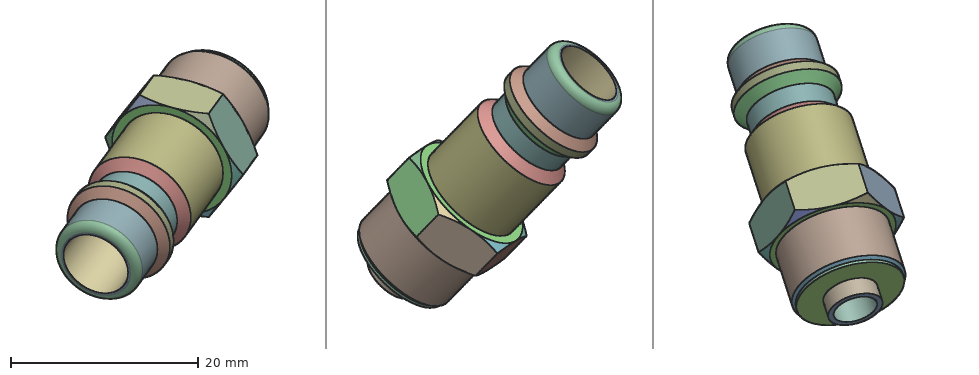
import cadquery as cq
import math


tip_radius = 5.0
groove_radius = 4.9
shank_radius = 6.0
collar_radius = 6.32
tube_radius = 3.03
bore_radius = 2.4
socket_radius = 3.77
tip_fillet = 1.0

hex_across_flats = 14.0
hex_corner_radius = hex_across_flats / math.sqrt(3)
hex_chamfer_angle = math.radians(30)

tip_end = 5.0
rim_start = tip_end + shank_radius - tip_radius
rim_end = 7.0
groove_start = rim_end + shank_radius - groove_radius
groove_end = 10.4
shank_start = groove_end + shank_radius - groove_radius
hex_start = 20.0
hex_end = 25.0
collar_shoulder = 31.3
neck_start = collar_shoulder + collar_radius - shank_radius
neck_end = 32.0
total_length = 34.0
socket_depth = hex_start


def cylinder(radius, start, end):
    """Solid cylinder on the Y axis from start to end."""
    return cq.Workplane("XZ", origin=(0, start, 0)).circle(radius).extrude(start - end)


def revolve_about_axis(profile):
    """Revolve a closed (radius, Y) profile about the Y axis."""
    return profile.close().revolve(360, (0, 0, 0), (0, 1, 0))


def make_body():
    """Turned outside: rounded tip, locking rim, groove, shank, collar and tube."""
    fillet_center = tip_radius - tip_fillet
    arc_middle = (
        fillet_center + tip_fillet * math.sin(math.pi / 4),
        tip_fillet * (1 - math.cos(math.pi / 4)),
    )
    profile = (
        cq.Workplane("XY")
        .lineTo(fillet_center, 0)
        .threePointArc(arc_middle, (tip_radius, tip_fillet))
        .lineTo(tip_radius, tip_end)
        .lineTo(shank_radius, rim_start)
        .lineTo(shank_radius, rim_end)
        .lineTo(groove_radius, groove_start)
        .lineTo(groove_radius, groove_end)
        .lineTo(shank_radius, shank_start)
        .lineTo(shank_radius, hex_start)
        .lineTo(collar_radius, hex_start)
        .lineTo(collar_radius, collar_shoulder)
        .lineTo(shank_radius, neck_start)
        .lineTo(shank_radius, neck_end)
        .lineTo(tube_radius, neck_end)
        .lineTo(tube_radius, total_length)
        .lineTo(0, total_length)
    )
    return revolve_about_axis(profile)


def make_hex():
    """Hexagon with corners on the X axis, its corners turned off conically at both ends."""
    flat_radius = hex_across_flats / 2
    corner_drop = (hex_corner_radius - flat_radius) * math.tan(hex_chamfer_angle)
    prism = (
        cq.Workplane("XZ", origin=(0, hex_start, 0))
        .polygon(6, 2 * hex_corner_radius)
        .extrude(hex_start - hex_end)
    )
    envelope = revolve_about_axis(
        cq.Workplane("XY")
        .moveTo(0, hex_start)
        .lineTo(flat_radius, hex_start)
        .lineTo(hex_corner_radius, hex_start + corner_drop)
        .lineTo(hex_corner_radius, hex_end - corner_drop)
        .lineTo(flat_radius, hex_end)
        .lineTo(0, hex_end)
    )
    return prism.intersect(envelope)


through_bore = cylinder(bore_radius, 0, total_length)
tip_socket = cylinder(socket_radius, 0, socket_depth)

result = make_body().union(make_hex()).cut(through_bore).cut(tip_socket)